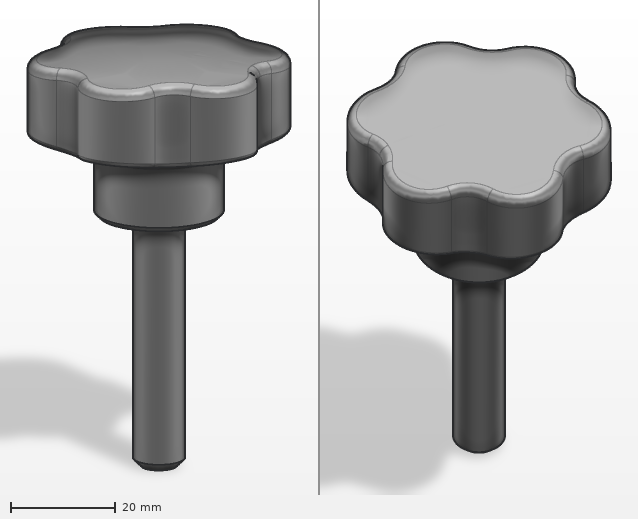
import cadquery as cq
import math

total_height = 83.0
boss_bottom = 50.0
boss_top = 63.4

shank_diameter = 10.0
shank_chamfer = 1.7
boss_diameter = 25.0
boss_chamfer = 1.0
boss_root_fillet = 1.0

lobe_count = 6
lobe_diameter = 18.5
lobe_center_radius = 16.1
underside_angle = 14.0
dome_radius = 190.8
top_edge_fillet = 2.0
bottom_edge_fillet = 1.0
blank_margin = 2.5

lobe_radius = lobe_diameter / 2
lobe_step = 360.0 / lobe_count
valley_center_radius = lobe_center_radius * math.sqrt(3)
valley_radius = lobe_center_radius - lobe_radius
tip_radius = lobe_center_radius + lobe_radius
valley_bottom_radius = valley_center_radius - valley_radius
blank_radius = tip_radius + blank_margin


def polar(radius, angle):
    """Point at a radius and an angle in degrees."""
    return (radius * math.cos(math.radians(angle)), radius * math.sin(math.radians(angle)))


def tangent_point(lobe_angle, valley_angle):
    """Joint of a lobe arc and a valley arc, on the line between their centers."""
    lobe_x, lobe_y = polar(lobe_center_radius, lobe_angle)
    valley_x, valley_y = polar(valley_center_radius, valley_angle)
    share = lobe_radius / (lobe_radius + valley_radius)
    return (lobe_x + share * (valley_x - lobe_x), lobe_y + share * (valley_y - lobe_y))


def make_lobed_prism():
    """Prism with alternating lobe and valley arcs, rising well past the dome."""
    first_lobe = 90.0
    half_step = lobe_step / 2
    outline = cq.Workplane("XY").workplane(offset=boss_bottom)
    outline = outline.moveTo(*tangent_point(first_lobe, first_lobe - half_step))
    for index in range(lobe_count):
        lobe = first_lobe + index * lobe_step
        valley = lobe + half_step
        outline = outline.threePointArc(polar(tip_radius, lobe), tangent_point(lobe, valley))
        outline = outline.threePointArc(
            polar(valley_bottom_radius, valley), tangent_point(lobe + lobe_step, valley)
        )
    return outline.close().extrude(total_height)


def dome_height(radius):
    """Height of the domed top at a distance from the axis."""
    return total_height - dome_radius + math.sqrt(dome_radius**2 - radius**2)


def outline_edges(grip, surface_type):
    """Wavy edges around a face of the given type, without its seam or round edges."""
    edges = grip.faces("%" + surface_type).edges().vals()
    return [edge for edge in edges if edge.geomType() == "BSPLINE"]


def make_grip():
    """Lobed grip between a domed top and a conical underside, with rounded edges."""
    boss_radius = boss_diameter / 2
    underside_rise = (blank_radius - boss_radius) * math.tan(math.radians(underside_angle))
    envelope = (
        cq.Workplane("XZ")
        .moveTo(0, boss_top)
        .lineTo(boss_radius, boss_top)
        .lineTo(blank_radius, boss_top + underside_rise)
        .lineTo(blank_radius, dome_height(blank_radius))
        .threePointArc((blank_radius / 2, dome_height(blank_radius / 2)), (0, total_height))
        .close()
        .revolve(360, (0, 0, 0), (0, 1, 0))
    )
    grip = make_lobed_prism().intersect(envelope)
    grip = grip.newObject(outline_edges(grip, "SPHERE")).fillet(top_edge_fillet)
    return grip.newObject(outline_edges(grip, "CONE")).fillet(bottom_edge_fillet)


def make_boss():
    """Round boss under the grip, chamfered at its lower rim."""
    boss = cq.Workplane("XY").workplane(offset=boss_bottom)
    boss = boss.circle(boss_diameter / 2).extrude(boss_top - boss_bottom)
    return boss.faces("<Z").edges().chamfer(boss_chamfer)


def make_shank():
    """Plain shank with a chamfered tip."""
    shank = cq.Workplane("XY").circle(shank_diameter / 2).extrude(boss_bottom)
    return shank.faces("<Z").edges().chamfer(shank_chamfer)


def is_boss_root(edge):
    """True for the circle where the boss meets the conical underside."""
    return edge.geomType() == "CIRCLE" and abs(edge.Center().z - boss_top) < boss_root_fillet / 2


body = make_grip().union(make_boss())
root_edges = [edge for edge in body.edges().vals() if is_boss_root(edge)]
body = body.newObject(root_edges).fillet(boss_root_fillet)
result = body.union(make_shank())